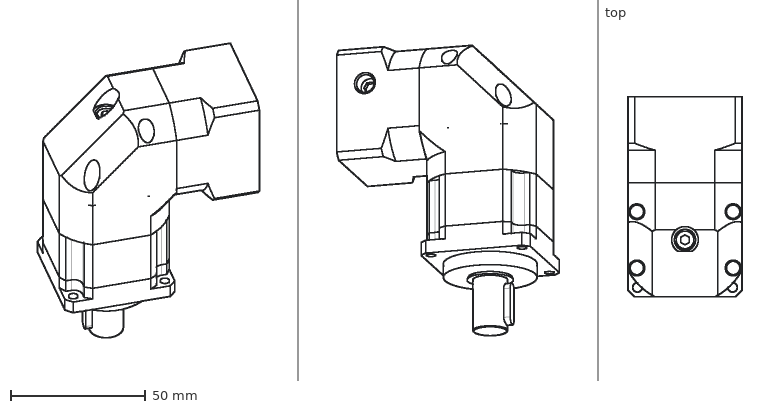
import cadquery as cq
import math


side = 42.5
half = side / 2
body_radius = 48.1 / 2
corner_radius = 56.7 / 2

total_height = 108.0
collar_bottom = 19.9
pilot_bottom = 20.8
flange_bottom = 26.0
flange_top = 31.0
ring_bottom = 35.9
ring_top = 56.0
input_axis_z = total_height - half

shaft_diameter = 13.0
shaft_chamfer = 0.3
collar_top_diameter = 16.4
collar_bottom_diameter = 17.3
key_width = 5.0
key_length = 16.1
key_start = 1.8
key_reach = 8.5

pilot_diameter = 35.0
bolt_offset = 17.7
bolt_hole_diameter = 3.5

bolt_pocket_wall = 14.0
bolt_pocket_radius = 3.3

cone_start = 64.7
cone_end = 73.7
slope_distance = 12.4
slope_half_width = 12.2
screw_hole_diameter = 5.8
screw_hole_x = 17.9
screw_hole_y = 10.5
screw_hole_floor = 73.4
screw_hole_taper = 0.4

pocket_diameter = 9.9
pocket_floor = 100.0
pocket_recess_diameter = 7.9
pocket_recess_depth = 0.6
pocket_hex_flats = 3.2

adapter_length = 32.1
adapter_cone_start = 12.1
adapter_cone_length = 2.6

clamp_y = 42.3
clamp_z = 93.7
clamp_mouth_diameter = 8.1
clamp_bore_diameter = 6.8
clamp_bore_depth = 6.5
clamp_hex_flats = 4.0

hex_depth = 2.2


def turned_z(points):
    """Revolve an outline of (radius, z) points about the output axis."""
    outline = [(-radius, z) for radius, z in points]
    return cq.Workplane("XZ").polyline(outline).close().revolve(360, (0, 0), (0, 1))


def cylinder_z(radius, bottom, top):
    return turned_z([(0, bottom), (radius, bottom), (radius, top), (0, top)])


def square_bar(bottom, top):
    return cq.Workplane("XY").workplane(offset=bottom).rect(side, side).extrude(top - bottom)


def hexagon(workplane, flats):
    """Outline of a hexagon with two corners on the local X axis."""
    return workplane.polygon(6, flats / math.cos(math.radians(30)))


def rounded_bar(bottom, top):
    """Square bar with turned corners and a bolt pocket along each corner."""
    height = top - bottom
    bar = square_bar(bottom, top).intersect(cylinder_z(body_radius, bottom, top))
    pocket = (
        cq.Workplane("XY").workplane(offset=bottom)
        .center(bolt_pocket_wall + side / 2, bolt_pocket_wall + side / 2)
        .rect(side, side).extrude(height)
        .edges("|Z").fillet(bolt_pocket_radius)
    )
    for corner in range(4):
        bar = bar.cut(pocket.rotate((0, 0, 0), (0, 0, 1), 90 * corner))
    return bar


def make_shaft():
    radius = shaft_diameter / 2
    shaft = turned_z([
        (0, 0),
        (radius - shaft_chamfer, 0),
        (radius, shaft_chamfer),
        (radius, collar_bottom),
        (collar_bottom_diameter / 2, collar_bottom),
        (collar_top_diameter / 2, pilot_bottom),
        (0, pilot_bottom),
    ])
    key = (
        cq.Workplane("XZ")
        .center(0, key_start + key_length / 2)
        .slot2D(key_length, key_width, 90)
        .extrude(key_reach)
    )
    return shaft.union(key)


def make_flange():
    plate = square_bar(flange_bottom, flange_top)
    plate = plate.intersect(cylinder_z(corner_radius, flange_bottom, flange_top))
    bolt_holes = (
        cq.Workplane("XY").workplane(offset=flange_bottom)
        .rect(2 * bolt_offset, 2 * bolt_offset, forConstruction=True).vertices()
        .circle(bolt_hole_diameter / 2).extrude(flange_top - flange_bottom)
    )
    pilot = cylinder_z(pilot_diameter / 2, pilot_bottom, flange_bottom)
    return plate.cut(bolt_holes).union(rounded_bar(flange_top, ring_bottom)).union(pilot)


def make_ring_gear():
    return rounded_bar(ring_bottom, ring_top)


def front_corner_envelope():
    """Turned corners on the -Y side; the block's full depth is kept on the +Y side."""
    height = total_height - ring_top
    rear = cq.Workplane("XY").box(2 * side, side, height, (True, False, False))
    return cylinder_z(body_radius, ring_top, total_height).union(rear.translate((0, 0, ring_top)))


def rear_corner_envelope():
    """Turned corners that flare out through a cone to the full square."""
    full_radius = half * math.sqrt(2)
    flare = (full_radius - body_radius) / (cone_end - cone_start)
    top_radius = body_radius + flare * (total_height - cone_start)
    return turned_z([
        (0, ring_top),
        (body_radius, ring_top),
        (body_radius, cone_start),
        (top_radius, total_height),
        (0, total_height),
    ])


def upper_corner_envelope():
    """Corners turned about the input axis, above that axis only."""
    turned = (
        cq.Workplane("XZ", origin=(0, half, input_axis_z)).circle(body_radius).extrude(side)
    )
    lower = cq.Workplane("XY").workplane(offset=ring_top).rect(2 * side, side)
    return turned.union(lower.extrude(input_axis_z - ring_top))


def slope_envelope():
    """Prism along the 45 degree slope: one sloping face with a 45 degree bevel on either side."""
    bevel_drop = half - slope_half_width
    plane = cq.Plane(origin=(0, 0, input_axis_z), xDir=(1, 0, 0), normal=(0, -1, -1))
    outline = [
        (-half, -2 * side),
        (half, -2 * side),
        (half, slope_distance - bevel_drop),
        (slope_half_width, slope_distance),
        (-slope_half_width, slope_distance),
        (-half, slope_distance - bevel_drop),
    ]
    return cq.Workplane(plane).polyline(outline).close().extrude(2 * side, both=True)


def pocket_screw_cut():
    """Round pocket in the slope with a tapered recess and a hexagon socket in its floor."""
    recess_floor = pocket_floor - pocket_recess_depth
    pocket = turned_z([
        (0, recess_floor),
        (pocket_recess_diameter / 2 - pocket_recess_depth, recess_floor),
        (pocket_recess_diameter / 2, pocket_floor),
        (pocket_diameter / 2, pocket_floor),
        (pocket_diameter / 2, total_height),
        (0, total_height),
    ])
    plane = cq.Workplane(cq.Plane(origin=(0, 0, recess_floor), xDir=(0, 1, 0), normal=(0, 0, 1)))
    return pocket.union(hexagon(plane, pocket_hex_flats).extrude(-hex_depth))


def make_corner_housing():
    housing = square_bar(ring_top, total_height)
    housing = housing.intersect(front_corner_envelope().intersect(rear_corner_envelope()))
    housing = housing.intersect(upper_corner_envelope())
    housing = housing.intersect(slope_envelope())
    screw_holes = (
        cq.Workplane("XY").workplane(offset=screw_hole_floor)
        .rect(2 * screw_hole_x, 2 * screw_hole_y, forConstruction=True).vertices()
        .circle(screw_hole_diameter / 2).extrude(total_height - screw_hole_floor)
        .faces("<Z").chamfer(screw_hole_taper)
    )
    return housing.cut(screw_holes).cut(pocket_screw_cut())


def clamp_screw_cut():
    """Chamfered bore in the -X side with a hexagon socket in its floor."""
    bore_radius = clamp_bore_diameter / 2
    chamfer = (clamp_mouth_diameter - clamp_bore_diameter) / 2
    bore = (
        cq.Workplane("XY")
        .polyline([
            (0, 0),
            (0, clamp_mouth_diameter / 2),
            (chamfer, bore_radius),
            (clamp_bore_depth, bore_radius),
            (clamp_bore_depth, 0),
        ])
        .close().revolve(360, (0, 0), (1, 0))
    )
    plane = cq.Workplane("YZ").workplane(offset=clamp_bore_depth)
    cut = bore.union(hexagon(plane, clamp_hex_flats).extrude(hex_depth))
    return cut.translate((-half, clamp_y, clamp_z))


def make_input_adapter():
    adapter_end = half + adapter_length
    cone_front = half + adapter_cone_start
    cone_back = cone_front + adapter_cone_length
    block = (
        cq.Workplane("XZ", origin=(0, half, input_axis_z)).rect(side, side).extrude(-adapter_length)
    )
    envelope = (
        cq.Workplane("XY")
        .polyline([
            (0, half),
            (body_radius, half),
            (body_radius, cone_front),
            (corner_radius, cone_back),
            (corner_radius, adapter_end),
            (0, adapter_end),
        ])
        .close().revolve(360, (0, 0), (0, 1))
        .translate((0, 0, input_axis_z))
    )
    return block.intersect(envelope).cut(clamp_screw_cut())


shaft = make_shaft()
flange = make_flange()
ring_gear = make_ring_gear()
corner_housing = make_corner_housing()
input_adapter = make_input_adapter()

result = cq.Compound.makeCompound([
    shaft.val(),
    flange.val(),
    ring_gear.val(),
    corner_housing.val(),
    input_adapter.val(),
])